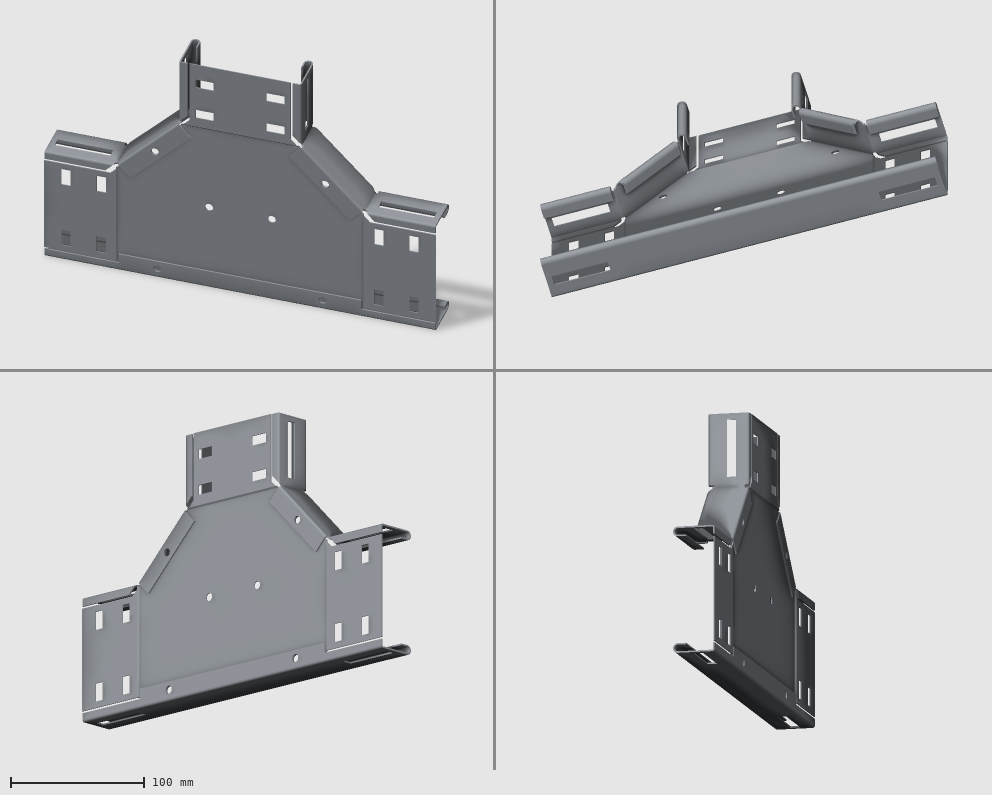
import cadquery as cq
import math

length = 308.0
height = 202.0
depth = 32.0
tray_width = 96.0
slant_leg = 49.5
fold_x = tray_width / 2 + slant_leg
fold_z = tray_width + slant_leg

rail_sheet = 1.2
bend_radius = 2.0
roll_radius = 3.7
lip_length = 6.5
wide_flange = 14.8
narrow_flange = 6.8
rail_setback = 0.3
wide_flange_end = 95.2

miter_start = 1.5
flange_gap = 1.5
roll_gap = 2.0
notch_floor = 26.5
relief_radius = 1.5
relief_y = 2.0

plate_sheet = 0.8
tab_inset = 8.3
flare_inset = 3.7
corner_inset = 2.0
step_start = 56.7
step_end = 58.0
bottom_inset = 3.0

slot_width = 7.5
tab_slot_length = 14.2
tab_slot_offset = 27.7
tab_slot_distances = (17.3, 45.0)
wall_slot_length = 43.8
wall_slot_distance = 26.8
wall_slot_y = 14.0
hole_diameter = 6.2
bolt_inset = 8.3
bolt_x = 65.0
plate_hole_x = 24.5
plate_hole_z = 72.7

corner_bolt_x = (tray_width / 2 + fold_x) / 2 - bolt_inset / math.sqrt(2)
corner_bolt_z = (tray_width + fold_z) / 2 - bolt_inset / math.sqrt(2)
lip_end_y = depth - roll_radius - lip_length
lower_fold = (-fold_x, tray_width)
upper_fold = (-tray_width / 2, fold_z)
cut_reach = wide_flange + rail_sheet


def hole_bars(points):
    """Round bars along Y that drill the flanges and plate, clear of the rolled lips."""
    return cq.Workplane("XZ").pushPoints(points).circle(hole_diameter / 2).extrude(-2 * bend_radius)


def prism(points, y_start, y_end):
    """A prism along Y over an (x, z) outline."""
    return cq.Workplane("XZ", origin=(0, y_start, 0)).polyline(points).close().extrude(y_start - y_end)



def rail_length(start, end, flange_width):
    """A straight length of rail; the tray lies on the right of the run from start to end in XZ."""
    run = cq.Vector(end[0] - start[0], 0, end[1] - start[1])
    inward = cq.Vector(0, 1, 0).cross(run)
    t = rail_sheet
    roll_y = depth - roll_radius
    roll_end = 2 * roll_radius
    frame = cq.Plane(origin=(start[0], 0, start[1]), xDir=inward, normal=run)
    return (
        cq.Workplane(frame)
        .moveTo(flange_width, 0)
        .lineTo(bend_radius, 0)
        .radiusArc((0, bend_radius), bend_radius)
        .lineTo(0, roll_y)
        .threePointArc((roll_radius, depth), (roll_end, roll_y))
        .lineTo(roll_end, lip_end_y)
        .lineTo(roll_end - t, lip_end_y)
        .lineTo(roll_end - t, roll_y)
        .threePointArc((roll_radius, depth - t), (t, roll_y))
        .lineTo(t, bend_radius)
        .radiusArc((bend_radius, t), -(bend_radius - t))
        .lineTo(flange_width, t)
        .close()
        .extrude(run.Length)
    )


def wall_slot(x, z, along_x):
    """Cutter for one long slot through an arm wall."""
    reach = 4 * rail_sheet
    if along_x:
        return cq.Workplane().box(wall_slot_length, slot_width, reach).translate((x, wall_slot_y, z))
    return cq.Workplane().box(reach, slot_width, wall_slot_length).translate((x, wall_slot_y, z))


def make_back_rail():
    end_x = length / 2 - rail_setback
    rail = rail_length((end_x, 0), (-end_x, 0), narrow_flange)
    rail = rail.union(rail_length((wide_flange_end, 0), (-wide_flange_end, 0), wide_flange))
    for side in (-1, 1):
        rail = rail.cut(wall_slot(side * (length / 2 - wall_slot_distance), 0, True))
    return rail.cut(hole_bars([(-bolt_x, bolt_inset), (bolt_x, bolt_inset)]))


def arm_fold_cuts():
    """Cutters on the side arm of the left corner rail, next to its lower fold."""
    x, z = lower_fold
    flange_miter = prism(
        [
            (x, z),
            (x - miter_start, z),
            (x - miter_start - cut_reach, z - cut_reach),
            (x, z - cut_reach),
        ],
        0,
        bend_radius,
    )
    roll_end = (
        cq.Workplane()
        .box(roll_gap, depth, 2 * cut_reach, centered=(False, False, True))
        .translate((x - roll_gap, notch_floor, z))
    )
    lip_end = (
        cq.Workplane()
        .box(roll_gap, depth, cut_reach, centered=False)
        .translate((x - roll_gap, lip_end_y, z - rail_sheet - cut_reach))
    )
    return [flange_miter, roll_end, lip_end]


def slant_fold_cuts():
    """Cutters on the slanted wall of the left corner rail, next to its lower fold."""
    x, z = lower_fold
    along = cq.Vector(1, 0, 1)
    inward = cq.Vector(1, 0, -1)
    outward = cq.Vector(-1, 0, 1)

    flange_frame = cq.Plane(origin=(x, 0, z), xDir=inward, normal=along)
    flange_end = cq.Workplane(flange_frame).rect(2 * cut_reach, 2 * bend_radius).extrude(flange_gap)

    rise = depth - notch_floor
    wall_frame = cq.Plane(origin=(x, notch_floor, z), xDir=along, normal=outward)
    roll_end = (
        cq.Workplane(wall_frame)
        .polyline([(0, 0), (0, rise), (rise, rise)])
        .close()
        .extrude(cut_reach, both=True)
    )

    lip_frame = cq.Plane(origin=(x, lip_end_y, z), xDir=inward, normal=(0, 1, 0))
    lip_end = (
        cq.Workplane(lip_frame)
        .polyline([(rail_sheet, 0), (cut_reach, 0), (cut_reach, rail_sheet - cut_reach)])
        .close()
        .extrude(depth)
    )
    return [flange_end, roll_end, lip_end]


def fold_relief():
    """Round bar through the wall at the end of the flange bend, on the lower fold."""
    x, z = lower_fold
    return (
        cq.Workplane("XY", origin=(x, relief_y, z))
        .circle(relief_radius)
        .extrude(2 * rail_sheet, both=True)
    )


def make_corner_rail():
    """The left corner rail: side arm, 45 degree wall and top arm, folded from one strip."""
    side_end = (-length / 2 + rail_setback, tray_width)
    top_end = (-tray_width / 2, height - rail_setback)
    rail = rail_length(lower_fold, upper_fold, wide_flange)
    rail = rail.union(rail_length(side_end, lower_fold, narrow_flange))
    rail = rail.union(rail_length(upper_fold, top_end, narrow_flange))

    miter_shift = rail_sheet * math.tan(math.pi / 8)
    wall = [
        lower_fold,
        upper_fold,
        (upper_fold[0] + rail_sheet, upper_fold[1]),
        (upper_fold[0] + rail_sheet, upper_fold[1] - miter_shift),
        (lower_fold[0] + miter_shift, lower_fold[1] - rail_sheet),
        (lower_fold[0], lower_fold[1] - rail_sheet),
    ]
    rail = rail.union(prism(wall, bend_radius, depth - roll_radius))

    middle = (-(fold_x + tray_width / 2) / 2, 0, (tray_width + fold_z) / 2)
    for cutter in [*arm_fold_cuts(), *slant_fold_cuts(), fold_relief()]:
        rail = rail.cut(cutter)
        rail = rail.cut(cutter.mirror(cq.Vector(1, 0, 1), middle))

    rail = rail.cut(wall_slot(-length / 2 + wall_slot_distance, tray_width, True))
    rail = rail.cut(wall_slot(-tray_width / 2, height - wall_slot_distance, False))
    return rail.cut(hole_bars([(-corner_bolt_x, corner_bolt_z)]))



def make_arm(flare_low):
    """One arm running along +X from its end at the origin, centred on Z = 0.

    It widens on its +Z side next to the base plate, and on its -Z side too if flare_low is set.
    """
    section = [
        (0, 0),
        (step_start, 0),
        (step_end, rail_sheet),
        (step_end, rail_sheet + plate_sheet),
        (step_start, plate_sheet),
        (0, plate_sheet),
    ]
    arm = (
        cq.Workplane("XY")
        .polyline(section)
        .close()
        .extrude(tray_width / 2, both=True)
    )
    half_tab = tray_width / 2 - tab_inset
    half_flare = tray_width / 2 - flare_inset
    half_corner = tray_width / 2 - corner_inset
    flare = half_flare - half_tab
    low_side = [(step_end, -half_tab)]
    if flare_low:
        low_side = [
            (step_start - flare, -half_tab),
            (step_start, -half_flare),
            (step_start, -half_corner),
            (step_end, -half_corner),
        ]
    outline = [
        (0, -half_tab),
        *low_side,
        (step_end, half_corner),
        (step_start, half_corner),
        (step_start, half_flare),
        (step_start - flare, half_tab),
        (0, half_tab),
    ]
    arm = arm.intersect(prism(outline, 0, depth))
    slot_centres = [(x, z) for x in tab_slot_distances for z in (-tab_slot_offset, tab_slot_offset)]
    slots = cq.Workplane("XZ").pushPoints(slot_centres).rect(slot_width, tab_slot_length).extrude(-depth)
    return arm.cut(slots)


def make_base_plate():
    step_x = length / 2 - step_end
    step_z = height - step_end
    corner_z = tray_width - corner_inset
    corner_x = tray_width / 2 - corner_inset
    outline = [
        (-step_x, bottom_inset),
        (step_x, bottom_inset),
        (step_x, corner_z),
        (corner_x, step_z),
        (-corner_x, step_z),
        (-step_x, corner_z),
    ]
    plate = prism(outline, rail_sheet, rail_sheet + plate_sheet)
    left_arm = make_arm(flare_low=False).translate((-length / 2, 0, tray_width / 2))
    top_arm = make_arm(flare_low=True).rotate((0, 0, 0), (0, 1, 0), 90).translate((0, 0, height))
    plate = plate.union(left_arm).union(left_arm.mirror("YZ")).union(top_arm)
    holes = []
    for side in (-1, 1):
        holes.append((side * plate_hole_x, plate_hole_z))
        holes.append((side * bolt_x, bolt_inset))
        holes.append((side * corner_bolt_x, corner_bolt_z))
    return plate.cut(hole_bars(holes))


base_plate = make_base_plate()
back_rail = make_back_rail()
left_corner_rail = make_corner_rail()
corner_rails = [left_corner_rail, left_corner_rail.mirror("YZ")]

result = cq.Compound.makeCompound(
    [base_plate.val(), back_rail.val(), *[rail.val() for rail in corner_rails]]
)